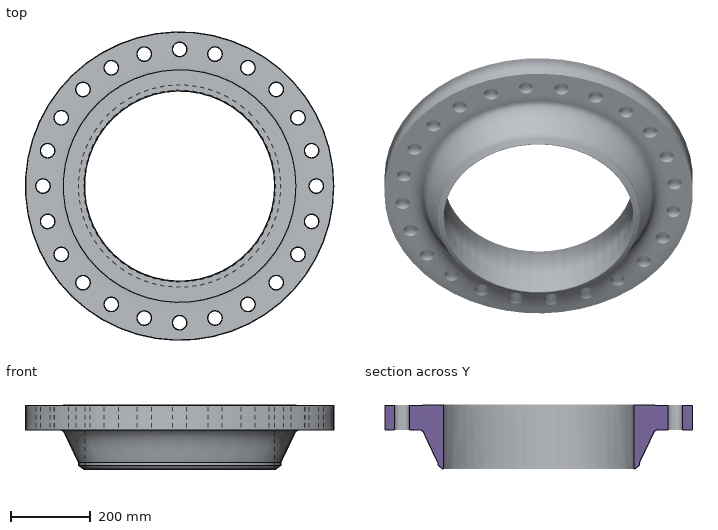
import cadquery as cq
import math

flange_diameter = 775.0
total_height = 162.0
bore_diameter = 477.0

flange_bottom_depth = 63.5
raised_face_diameter = 584.0
raised_face_height = 1.5

hub_base_diameter = 586.0
neck_diameter = 508.0
neck_height = 17.0
hub_fillet_radius = 12.0

bevel_height = 10.0
land_width = 2.0

bolt_count = 24
bolt_circle_diameter = 686.0
bolt_hole_diameter = 36.0

flange_bottom = total_height - flange_bottom_depth
flange_top = total_height - raised_face_height
bore_radius = bore_diameter / 2
neck_radius = neck_diameter / 2
hub_base_radius = hub_base_diameter / 2
flange_radius = flange_diameter / 2
raised_face_radius = raised_face_diameter / 2

taper_run = hub_base_radius - neck_radius
taper_rise = flange_bottom - neck_height
taper_angle = math.atan2(taper_run, taper_rise)
half_turn = (math.pi / 2 - taper_angle) / 2
tangent_length = hub_fillet_radius * math.tan(half_turn)
fillet_start = (
    hub_base_radius - tangent_length * math.sin(taper_angle),
    flange_bottom - tangent_length * math.cos(taper_angle),
)
fillet_end = (hub_base_radius + tangent_length, flange_bottom)
fillet_middle = (
    fillet_end[0] - hub_fillet_radius * math.sin(half_turn),
    flange_bottom - hub_fillet_radius * (1 - math.cos(half_turn)),
)

body = (
    cq.Workplane("XZ")
    .moveTo(bore_radius, 0)
    .lineTo(bore_radius + land_width, 0)
    .lineTo(neck_radius, bevel_height)
    .lineTo(neck_radius, neck_height)
    .lineTo(*fillet_start)
    .threePointArc(fillet_middle, fillet_end)
    .lineTo(flange_radius, flange_bottom)
    .lineTo(flange_radius, flange_top)
    .lineTo(raised_face_radius, flange_top)
    .lineTo(raised_face_radius, total_height)
    .lineTo(bore_radius, total_height)
    .close()
    .revolve(360, (0, 0, 0), (0, 1, 0))
)

bolt_holes = (
    cq.Workplane("XY")
    .polarArray(bolt_circle_diameter / 2, 0, 360, bolt_count)
    .circle(bolt_hole_diameter / 2)
    .extrude(total_height)
)

result = body.cut(bolt_holes)